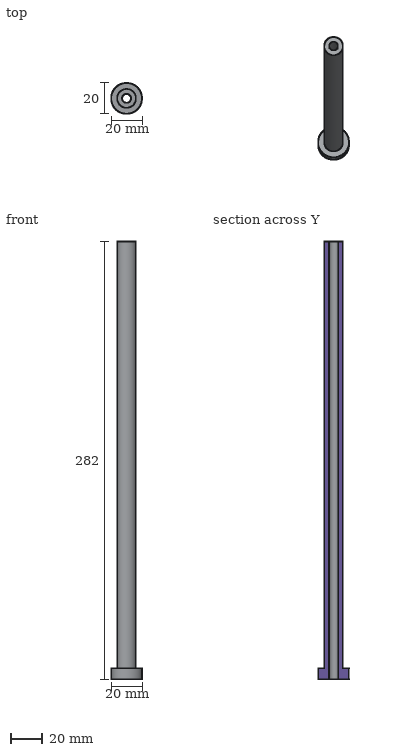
import cadquery as cq

total_length = 282.0
head_diameter = 20.0
head_height = 7.3
shank_diameter = 12.0
bore_diameter = 5.5

head = cq.Workplane("XY").circle(head_diameter / 2).extrude(head_height)
shank = cq.Workplane("XY").circle(shank_diameter / 2).extrude(total_length)

bore = cq.Workplane("XY").circle(bore_diameter / 2).extrude(total_length)

result = head.union(shank).cut(bore)